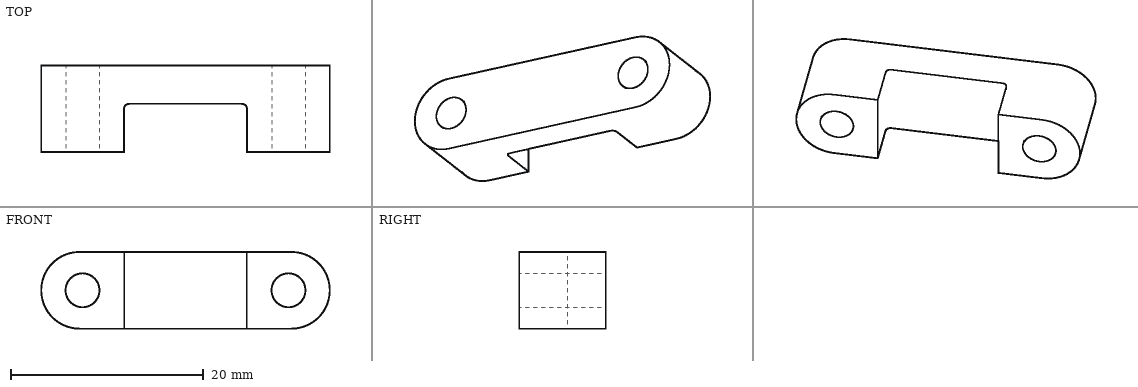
import cadquery as cq

length = 30.0
depth = 9.0
height = 8.0

slot_width = 12.75
slot_depth = 5.0
slot_corner_radius = 0.5

hole_diameter = 3.5
hole_spacing = 21.4

front_y = -depth / 2


def make_bar():
    """Bar with semicircular ends, extruded along Y and centred on the origin."""
    return cq.Workplane("XZ").slot2D(length, height).extrude(depth / 2, both=True)


def make_slot():
    """Cutter for the clearance slot, with rounded inner corners."""
    return (
        cq.Workplane("XY")
        .box(slot_width, slot_depth, height, centered=(True, False, True))
        .translate((0, front_y, 0))
        .edges("|Z and >Y")
        .fillet(slot_corner_radius)
    )


def make_holes():
    """Cutters for the mounting holes, running the full depth along Y."""
    hole_centers = [(-hole_spacing / 2, 0), (hole_spacing / 2, 0)]
    return (
        cq.Workplane("XZ")
        .pushPoints(hole_centers)
        .circle(hole_diameter / 2)
        .extrude(depth / 2, both=True)
    )


result = make_bar().cut(make_slot()).cut(make_holes())